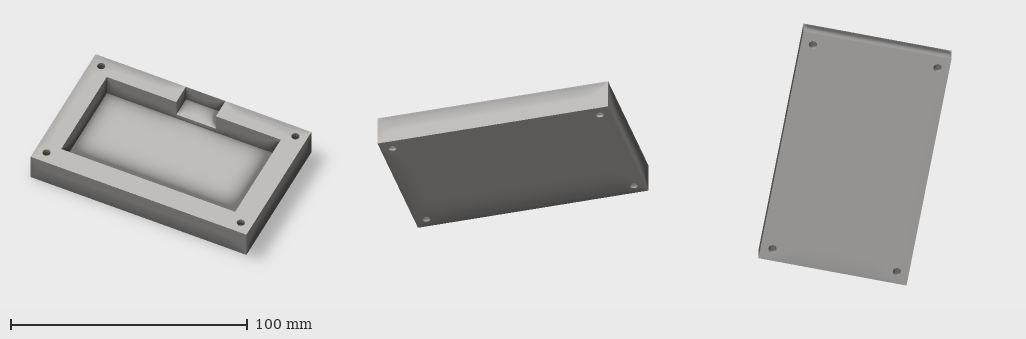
import cadquery as cq

length = 101.0
width = 63.6
height = 13.0

end_wall = 9.8
side_wall = 9.5
pocket_depth = 10.4
pocket_length = length - 2 * end_wall
pocket_width = width - 2 * side_wall

notch_start = 42.3
notch_length = 18.5
notch_depth = 8.0
skin_thickness = 0.1

hole_diameter = 3.4
hole_inset = 5.0


def cut_from_top(body, center_x, center_y, size_x, size_y, depth):
    """Cut a rectangular recess down from the top face."""
    cutter = (
        cq.Workplane("XY", origin=(center_x, center_y, height - depth))
        .box(size_x, size_y, depth, centered=(True, True, False))
    )
    return body.cut(cutter)


block = cq.Workplane("XY").box(length, width, height, centered=(True, True, False))

tray = cut_from_top(block, 0, 0, pocket_length, pocket_width, pocket_depth)

notch_x = -length / 2 + notch_start + notch_length / 2
notch_width = side_wall - skin_thickness
notch_y = pocket_width / 2 + notch_width / 2
tray = cut_from_top(tray, notch_x, notch_y, notch_length, notch_width, notch_depth)

result = (
    tray.faces("<Z")
    .workplane(origin=(0, 0, 0))
    .rect(length - 2 * hole_inset, width - 2 * hole_inset, forConstruction=True)
    .vertices()
    .hole(hole_diameter)
)